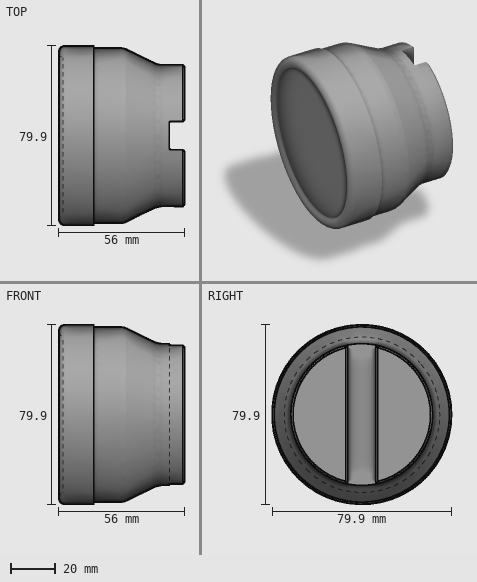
import cadquery as cq
import math

cap_diameter = 79.9
cap_end_x = 15.6
rim_radius = 2.8
face_depth = 1.7

barrel_diameter = 78.0
neck_diameter = 63.0
taper_start_x = 28.7
taper_end_x = 44.0
taper_blend_radius = 6.0
housing_end_x = 56.0
end_chamfer = 0.95

slot_width = 12.5
slot_floor_x = 49.1
slot_corner_radius = 0.6


def make_cap():
    """Revolve the cap about X; an arc from its outer side to the recessed face forms the rim."""
    outer_radius = cap_diameter / 2
    rim_center_radius = outer_radius - rim_radius
    face_radius = rim_center_radius - math.sqrt(rim_radius**2 - (rim_radius - face_depth) ** 2)
    return (
        cq.Workplane("XY")
        .moveTo(face_depth, 0)
        .lineTo(cap_end_x, 0)
        .lineTo(cap_end_x, outer_radius)
        .lineTo(rim_radius, outer_radius)
        .threePointArc((0, rim_center_radius), (face_depth, face_radius))
        .close()
        .revolve(360, (0, 0, 0), (1, 0, 0))
    )


def make_taper_body():
    """Revolve barrel, cone and neck about X, then blend both cone ends."""
    barrel_radius = barrel_diameter / 2
    neck_radius = neck_diameter / 2
    body = (
        cq.Workplane("XY")
        .moveTo(cap_end_x, 0)
        .lineTo(cap_end_x, barrel_radius)
        .lineTo(taper_start_x, barrel_radius)
        .lineTo(taper_end_x, neck_radius)
        .lineTo(housing_end_x, neck_radius)
        .lineTo(housing_end_x, 0)
        .close()
        .revolve(360, (0, 0, 0), (1, 0, 0))
    )
    tolerance = 0.1
    for x in (taper_start_x, taper_end_x):
        ring = cq.selectors.BoxSelector(
            (x - tolerance, -cap_diameter, -cap_diameter),
            (x + tolerance, cap_diameter, cap_diameter),
            boundingbox=True,
        )
        body = body.edges("%CIRCLE").edges(ring).fillet(taper_blend_radius)
    return body


def make_slot():
    """Through slot along Z with rounded floor corners, open at the neck end."""
    length = housing_end_x - slot_floor_x
    return (
        cq.Workplane("XY")
        .box(length, slot_width, cap_diameter)
        .edges("|Z and <X")
        .fillet(slot_corner_radius)
        .translate((slot_floor_x + length / 2, 0, 0))
    )


def make_housing():
    """Cut the slot, then chamfer every edge of the two end lands."""
    return make_taper_body().cut(make_slot()).faces(">X").edges().chamfer(end_chamfer)


cap = make_cap()
housing = make_housing()

result = cq.Compound.makeCompound([cap.val(), housing.val()])